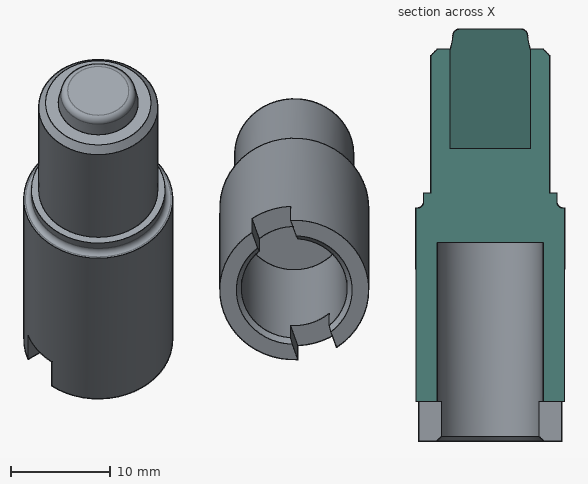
import math

import cadquery as cq


SLEEVE_DIAMETER = 15.0
SLEEVE_HEIGHT = 23.5

COLLAR_DIAMETER = 13.45
COLLAR_TOP = 25.0
COLLAR_FILLET = 0.6

SPIGOT_DIAMETER = 12.0
SPIGOT_TOP = 39.5
SPIGOT_CHAMFER = 0.7

BORE_DIAMETER = 10.65
COUNTERSINK_DEPTH = 0.5
BORE_DEPTH = 20.0

SLOT_WIDTH = 4.1
SLOT_DEPTH = 4.0

PIN_DIAMETER = 8.05
PIN_TOP = 41.5
PIN_TAPER_ANGLE = 10.5
PIN_TIP_FILLET = 0.7
PIN_SEAT_DEPTH = 10.0
PIN_BOTTOM = SPIGOT_TOP - PIN_SEAT_DEPTH


def cylinder(diameter, bottom, top):
    """Solid cylinder on the Z axis between two heights."""
    return cq.Workplane("XY", origin=(0, 0, bottom)).circle(diameter / 2).extrude(top - bottom)


def make_outer_body():
    """Sleeve, collar and spigot as one revolved solid."""
    sleeve_radius = SLEEVE_DIAMETER / 2
    collar_radius = COLLAR_DIAMETER / 2
    spigot_radius = SPIGOT_DIAMETER / 2
    fillet_end_radius = collar_radius + COLLAR_FILLET
    fillet_top = SLEEVE_HEIGHT + COLLAR_FILLET
    fillet_middle = (
        fillet_end_radius - COLLAR_FILLET * math.cos(math.pi / 4),
        fillet_top - COLLAR_FILLET * math.sin(math.pi / 4),
    )
    return (
        cq.Workplane("XZ")
        .lineTo(sleeve_radius, 0)
        .lineTo(sleeve_radius, SLEEVE_HEIGHT)
        .lineTo(fillet_end_radius, SLEEVE_HEIGHT)
        .threePointArc(fillet_middle, (collar_radius, fillet_top))
        .lineTo(collar_radius, COLLAR_TOP)
        .lineTo(spigot_radius, COLLAR_TOP)
        .lineTo(spigot_radius, SPIGOT_TOP - SPIGOT_CHAMFER)
        .lineTo(spigot_radius - SPIGOT_CHAMFER, SPIGOT_TOP)
        .lineTo(0, SPIGOT_TOP)
        .close()
        .revolve(360, (0, 0, 0), (0, 1, 0))
    )


def make_bore():
    """Cutter for the bottom bore and its countersink."""
    bore_radius = BORE_DIAMETER / 2
    return (
        cq.Workplane("XZ")
        .lineTo(bore_radius + COUNTERSINK_DEPTH, 0)
        .lineTo(bore_radius, COUNTERSINK_DEPTH)
        .lineTo(bore_radius, BORE_DEPTH)
        .lineTo(0, BORE_DEPTH)
        .close()
        .revolve(360, (0, 0, 0), (0, 1, 0))
    )


def make_slot():
    """Cutter for the driver slot, as long as the sleeve is wide."""
    return cq.Workplane("XY").rect(SLOT_WIDTH, SLEEVE_DIAMETER).extrude(SLOT_DEPTH)


def make_housing():
    """Stepped body with the bore and slot below and the blind pin seat above."""
    pin_seat = cylinder(PIN_DIAMETER, PIN_BOTTOM, SPIGOT_TOP)
    return make_outer_body().cut(make_bore()).cut(make_slot()).cut(pin_seat)


def make_pin():
    """Round pin filling its seat, with a tapered and rounded head above the spigot."""
    pin_radius = PIN_DIAMETER / 2
    head_height = PIN_TOP - SPIGOT_TOP
    tip_radius = pin_radius - head_height * math.tan(math.radians(PIN_TAPER_ANGLE))
    pin = (
        cq.Workplane("XZ")
        .moveTo(0, PIN_BOTTOM)
        .lineTo(pin_radius, PIN_BOTTOM)
        .lineTo(pin_radius, SPIGOT_TOP)
        .lineTo(tip_radius, PIN_TOP)
        .lineTo(0, PIN_TOP)
        .close()
        .revolve(360, (0, 0, 0), (0, 1, 0))
    )
    return pin.faces(">Z").edges().fillet(PIN_TIP_FILLET)


housing = make_housing()
pin = make_pin()
result = cq.Compound.makeCompound([housing.val(), pin.val()])